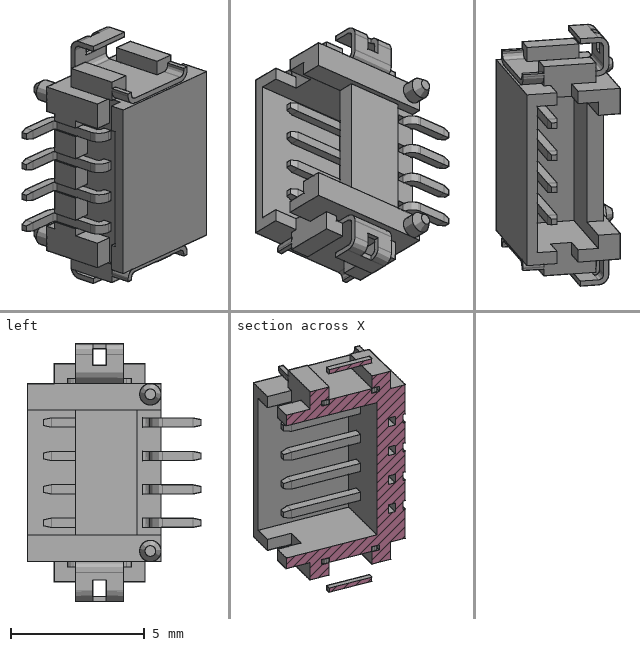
import cadquery as cq


body_depth = 3.6
body_length = 5.0
body_half_height = 3.33
end_wall_inner = 2.335
tail_block_depth = 2.5
front_plate_x = 3.02
front_plate_y = 0.2
front_recess_x = 3.2
tail_floor_y = 0.7
tail_recess_x = 1.425
tail_ledge_x = 0.4
panel_x = 0.2
panel_y_min = 0.9
panel_y_max = 3.2
cavity_x = 0.85
cavity_half_height = 2.85
cavity_floor_thickness = 0.5
cavity_floor_y = tail_floor_y + cavity_floor_thickness
latch_slot_x_min = 1.63
latch_slot_x_max = 2.44

peg_radius = 0.4
peg_tip_radius = 0.2
peg_straight_length = 0.5
peg_length = 0.8

contact_count = 4
contact_pitch = 1.25
contact_size = 0.35
contact_inner_radius = 0.125
contact_outer_radius = contact_inner_radius + contact_size
contact_bar_y = 0.08
contact_back_x = 2.575
tail_end_y = -1.5
contact_end_y = 4.4
contact_taper_length = 0.3
contact_tip_size = 0.22

lug_middle_y = 2.3
lug_span = 3.4
lug_gap = 1.8
lug_height = 0.75
lug_x_min = 0.7
lug_x_max = 2.7
lug_notch_width = 2.4

metal = 0.2
bend_inner_radius = 0.2
bend_outer_radius = bend_inner_radius + metal
clip_height = 1.495
clip_leg_end_x = 1.1
clip_plate_front_x = 0.9
clip_corner_radius = 0.2
clip_plate_end_x = 3.5
clip_flange_height = 0.49
clip_window_width = 0.5
clip_window_start = 0.69


def block(x_min, x_max, y_min, y_max, z_min, z_max):
    """Axis-aligned box given by its limits."""
    size = (x_max - x_min, y_max - y_min, z_max - z_min)
    return cq.Workplane("XY").box(*size, centered=False).translate((x_min, y_min, z_min))


def slab(x_min, x_max, y_min, y_max, half_height):
    """Box centred on Z = 0."""
    return block(x_min, x_max, y_min, y_max, -half_height, half_height)


def centred_strip(x_min, x_max, width, z_min, z_max):
    """Box centred on the middle of the lugs in Y."""
    return block(x_min, x_max, lug_middle_y - width / 2, lug_middle_y + width / 2, z_min, z_max)


def mirrored_pair(upper):
    """The upper solid together with its mirror image below Z = 0."""
    return upper.union(upper.mirror("XY"))


def contact_z_positions():
    first = -contact_pitch * (contact_count - 1) / 2
    return [first + contact_pitch * i for i in range(contact_count)]


def make_housing():
    housing = slab(0, body_depth, 0, body_length, body_half_height)

    housing = housing.cut(slab(0, panel_x, 0, body_length, end_wall_inner))
    housing = housing.cut(slab(0, tail_ledge_x, 0, panel_y_min, end_wall_inner))

    housing = housing.cut(slab(front_plate_x, body_depth, 0, front_plate_y, body_half_height))
    housing = housing.cut(slab(tail_block_depth, front_plate_x, 0, tail_floor_y, body_half_height))
    housing = housing.cut(slab(tail_recess_x, front_recess_x, 0, tail_floor_y, end_wall_inner))

    housing = housing.cut(
        slab(cavity_x, front_recess_x, cavity_floor_y, body_length, cavity_half_height)
    )
    housing = housing.cut(slab(0, cavity_x, panel_y_max, body_length, end_wall_inner))

    latch_slot_y = lug_middle_y + lug_span / 2
    housing = housing.cut(
        slab(latch_slot_x_min, latch_slot_x_max, latch_slot_y, body_length, body_half_height)
    )

    for z in contact_z_positions():
        slot = slab(tail_ledge_x, tail_recess_x, 0, tail_floor_y, contact_size / 2)
        housing = housing.cut(slot.translate((0, 0, z)))
    return housing


def make_peg():
    profile = [
        (0, 0),
        (0, peg_radius),
        (-peg_straight_length, peg_radius),
        (-peg_length, peg_tip_radius),
        (-peg_length, 0),
    ]
    peg = cq.Workplane("XY").polyline(profile).close().revolve(360, (0, 0, 0), (1, 0, 0))
    return peg.translate((0, peg_radius, body_half_height - peg_radius))


def contact_taper(x_middle, y_root, direction):
    """Pyramid-shaped point growing along +Y or -Y from a square bar end."""
    plane = cq.Plane((x_middle, y_root, 0), xDir=(1, 0, 0), normal=(0, direction, 0))
    return (
        cq.Workplane(plane)
        .rect(contact_size, contact_size)
        .workplane(offset=contact_taper_length)
        .rect(contact_tip_size, contact_tip_size)
        .loft(combine=True)
    )


def make_contact():
    """Tail along -Y, bar along +X, then the mating blade along +Y."""
    half = contact_size / 2
    bar_top_y = contact_bar_y + contact_size
    tail_root_y = tail_end_y + contact_taper_length
    blade_root_y = contact_end_y - contact_taper_length
    blade_x = contact_back_x - contact_size

    tail = slab(0, contact_size, tail_root_y, bar_top_y, half)
    bar = slab(0, contact_back_x, contact_bar_y, bar_top_y, half)
    blade = slab(blade_x, contact_back_x, contact_bar_y, blade_root_y, half)
    contact = tail.union(bar).union(blade)

    outer_corners = [(0, bar_top_y), (contact_back_x, contact_bar_y)]
    inner_corners = [(contact_size, contact_bar_y), (blade_x, bar_top_y)]
    bends = [(contact_outer_radius, outer_corners), (contact_inner_radius, inner_corners)]
    for radius, corners in bends:
        for x, y in corners:
            contact = contact.edges(cq.NearestToPointSelector((x, y, 0))).fillet(radius)

    contact = contact.union(contact_taper(half, tail_root_y, -1))
    return contact.union(contact_taper(blade_x + half, blade_root_y, 1))


def make_lugs():
    """Pair of lugs with the notch beneath them for the clip plate."""
    top_z = body_half_height + lug_height
    lugs = centred_strip(lug_x_min, lug_x_max, lug_span, body_half_height, top_z)
    lugs = lugs.cut(centred_strip(lug_x_min, lug_x_max, lug_gap, body_half_height, top_z))
    notch_top_z = body_half_height + metal
    return lugs.cut(
        centred_strip(lug_x_min, lug_x_max, lug_notch_width, body_half_height, notch_top_z)
    )


def make_clip():
    base_z = body_half_height
    top_z = base_z + clip_height

    foot = centred_strip(0, clip_leg_end_x, lug_gap, base_z, top_z)
    foot = foot.edges("|Y and <X").fillet(bend_outer_radius)
    foot_inside = centred_strip(metal, clip_leg_end_x, lug_gap, base_z + metal, top_z - metal)
    foot = foot.cut(foot_inside.edges("|Y and <X").fillet(bend_inner_radius))
    window_bottom_z = base_z + clip_window_start
    foot = foot.cut(centred_strip(0, bend_outer_radius, clip_window_width, window_bottom_z, top_z))

    plate = centred_strip(clip_plate_front_x, lug_x_max, lug_notch_width, base_z, base_z + metal)
    plate = plate.edges("|Z and <X").fillet(clip_corner_radius)

    flange_top_z = base_z + clip_flange_height
    tray = centred_strip(lug_x_max, clip_plate_end_x, lug_span, base_z, flange_top_z)
    tray = tray.edges("|X and <Z").fillet(bend_outer_radius)
    tray_inside = centred_strip(
        lug_x_max, clip_plate_end_x, lug_span - 2 * metal, base_z + metal, flange_top_z
    )
    tray = tray.cut(tray_inside.edges("|X and <Z").fillet(bend_inner_radius))
    return foot.union(plate).union(tray)


result = make_housing()
result = result.union(mirrored_pair(make_peg()))
result = result.union(mirrored_pair(make_lugs()))
result = result.union(mirrored_pair(make_clip()))
contact_shape = make_contact()
for contact_z in contact_z_positions():
    result = result.union(contact_shape.translate((0, 0, contact_z)))